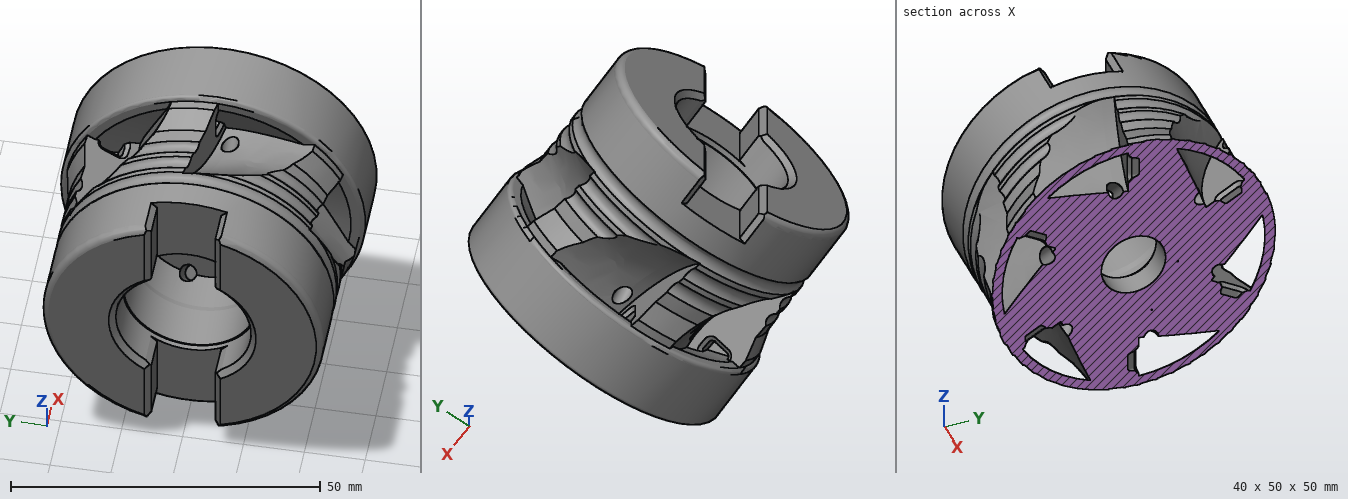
import cadquery as cq
import math

length = 40.0
flange_radius = 25.0
flange_start = 28.0
flange_fillet = 0.75
hub_radius = 23.0
nose_fillet_length = 1.5
nose_fillet_depth = 1.0
collar_radius = flange_radius - flange_fillet
cone_start = 22.7
cone_end = 26.45

groove_count = 3
groove_first = 10.7
groove_pitch = 3.5
groove_width = 2.5
groove_depth = 0.65

bore_radius = 11.1
seat_radius = 10.9
seat_start = 7.3
relief_start = 15.0
bore_depth = 22.75
through_radius = 5.5
edge_chamfer = 1.0
relief_length = 1.0
relief_depth = 0.2

slot_half_width = 5.25
slot_depth = 6.3

flute_count = 6
floor_radius = 18.25
floor_height = 15.45
flute_start = 11.5
flute_end = 33.0
flute_top = 30.0
ridge_start = 13.35
ridge_offset = 0.1
ridge_slope = 0.21
floor_tilt = 0.15
floor_reach = 20.0
strip_tilt = 0.2
strip_width = 2.25
undercut_radius = 22.75
undercut_slope = 0.45

pocket_start = 27.0
pocket_width = 4.0
pocket_bottom = 16.7
pocket_top = 22.25
pocket_corner = 1.35
pocket_chamfer = 0.65
pocket_depth = 3.0

coolant_radius = 1.35
coolant_angle = 45.0
coolant_x = 27.5
coolant_side = 3.0
coolant_reach = 12.0


def revolve_about_x(profile):
    return profile.close().revolve(360, (0, 0, 0), (1, 0, 0))


def tangent_arc_middle(start, corner, end):
    """Middle point of the rounding that replaces a right-angled corner."""
    cos45 = math.sqrt(0.5)
    centre = (start[0] + end[0] - corner[0], start[1] + end[1] - corner[1])
    return (
        centre[0] + cos45 * (corner[0] - centre[0]),
        centre[1] + cos45 * (corner[1] - centre[1]),
    )


def make_body():
    nose_edge = (0, hub_radius - nose_fillet_depth)
    nose_tangent = (nose_fillet_length, hub_radius)
    nose_middle = tangent_arc_middle(nose_edge, (0, hub_radius), nose_tangent)
    profile = (
        cq.Workplane("XY")
        .moveTo(0, 0)
        .lineTo(*nose_edge)
        .threePointArc(nose_middle, nose_tangent)
    )
    for i in range(groove_count):
        start = groove_first + i * groove_pitch
        profile = profile.lineTo(start, hub_radius).threePointArc(
            (start + groove_width / 2, hub_radius - groove_depth),
            (start + groove_width, hub_radius),
        )
    front_edge = (flange_start, collar_radius)
    front_tangent = (flange_start + flange_fillet, flange_radius)
    rear_tangent = (length - flange_fillet, flange_radius)
    rear_edge = (length, collar_radius)
    profile = (
        profile.lineTo(cone_start, hub_radius)
        .lineTo(cone_end, collar_radius)
        .lineTo(*front_edge)
        .threePointArc(
            tangent_arc_middle(front_edge, (flange_start, flange_radius), front_tangent),
            front_tangent,
        )
        .lineTo(*rear_tangent)
        .threePointArc(
            tangent_arc_middle(rear_tangent, (length, flange_radius), rear_edge),
            rear_edge,
        )
        .lineTo(length, 0)
    )
    return revolve_about_x(profile)


def make_bore():
    relief_radius = seat_radius + relief_depth
    profile = cq.Workplane("XY").polyline(
        [
            (0, 0),
            (0, bore_radius + edge_chamfer),
            (edge_chamfer, bore_radius),
            (seat_start, bore_radius),
            (seat_start, seat_radius),
            (relief_start, seat_radius),
            (relief_start + relief_length, relief_radius),
            (bore_depth, relief_radius),
            (bore_depth, through_radius + edge_chamfer),
            (bore_depth + edge_chamfer, through_radius),
            (length, through_radius),
            (length, 0),
        ]
    )
    return revolve_about_x(profile)


def make_slot():
    """Slot whose walls are chamfered at the nose face, the bore and the outside."""
    flare = 2 * edge_chamfer
    wide = slot_half_width + edge_chamfer
    inner = math.sqrt(bore_radius**2 - wide**2) + edge_chamfer
    outer = math.sqrt(hub_radius**2 - wide**2) - edge_chamfer
    half = [
        (slot_half_width + flare, inner - flare),
        (slot_half_width, inner),
        (slot_half_width, outer),
        (slot_half_width + flare, outer + flare),
    ]
    outline = half + [(-y, z) for y, z in reversed(half)]
    upper = cq.Workplane("YZ").polyline(outline).close().extrude(slot_depth)
    lower = upper.mirror("XY")
    mouth = (
        cq.Workplane("XY")
        .polyline(
            [
                (0, wide),
                (edge_chamfer, slot_half_width),
                (edge_chamfer, -slot_half_width),
                (0, -wide),
            ]
        )
        .close()
        .extrude(hub_radius, both=True)
    )
    return upper.union(lower).union(mouth)


def ridge_point(x, height):
    """Point of the upright plane through the ridge between flute floor and strip."""
    side = ridge_offset + ridge_slope * (x - ridge_start)
    return cq.Vector(x, -side, height)


def floor_point(x):
    rise = floor_radius - math.sqrt(floor_radius**2 - (flange_start - x) ** 2)
    return ridge_point(x, floor_height + rise)


def make_flute():
    start = floor_point(flute_start)
    middle = floor_point((flute_start + flute_end) / 2)
    end = floor_point(flute_end)
    corners = [
        end,
        ridge_point(flute_end, flute_top),
        ridge_point(flute_start, flute_top),
        start,
    ]
    edges = [cq.Edge.makeThreePointArc(start, middle, end)]
    for first, second in zip(corners, corners[1:]):
        edges.append(cq.Edge.makeLine(first, second))
    outline = cq.Wire.assembleEdges(edges)
    floor_side = cq.Vector(0, -floor_reach, floor_reach * floor_tilt)
    strip_side = cq.Vector(0, strip_width, -strip_width * strip_tilt)
    floor_part = cq.Solid.extrudeLinear(outline, [], floor_side)
    strip_part = cq.Solid.extrudeLinear(outline, [], strip_side)
    return cq.Workplane(floor_part).union(cq.Workplane(strip_part))


def make_pocket():
    """Rounded pocket sunk into the flute wall, with a 45 degree chamfer around its mouth."""
    height = pocket_top - pocket_bottom
    middle_x = pocket_start + pocket_width / 2
    middle = ridge_point(middle_x, pocket_bottom + height / 2)
    origin = middle + cq.Vector(0, strip_width, 0)
    wall = cq.Plane(origin, xDir=(-1, ridge_slope, 0), normal=(ridge_slope, 1, 0))
    rim = cq.Sketch().rect(pocket_width, height).vertices().fillet(pocket_corner)
    recess = (
        cq.Sketch()
        .rect(pocket_width - 2 * pocket_chamfer, height - 2 * pocket_chamfer)
        .vertices()
        .fillet(pocket_corner - pocket_chamfer)
    )
    mouth = cq.Workplane(wall).placeSketch(rim).extrude(pocket_chamfer, taper=45)
    return mouth.union(cq.Workplane(wall).placeSketch(recess).extrude(pocket_depth))


def make_flute_limit():
    """Turned space open to the flutes: all before the flange and a cone beneath its rim."""
    cone_tip = flange_start + undercut_slope * undercut_radius
    profile = cq.Workplane("XY").polyline(
        [
            (flute_start, 0),
            (flute_start, 2 * flute_top),
            (flange_start, 2 * flute_top),
            (flange_start, undercut_radius),
            (cone_tip, 0),
        ]
    )
    return revolve_about_x(profile)


def make_coolant_hole():
    angle = math.radians(coolant_angle)
    direction = cq.Vector(-math.cos(angle), 0, -math.sin(angle))
    mouth = cq.Vector(coolant_x, -coolant_side, floor_height)
    start = mouth - direction * coolant_radius
    return cq.Workplane(cq.Solid.makeCylinder(coolant_radius, coolant_reach, start, direction))


result = make_body().cut(make_bore()).cut(make_slot())

flute = make_flute().union(make_pocket()).intersect(make_flute_limit())
flute_cut = flute.union(make_coolant_hole())
for i in range(flute_count):
    result = result.cut(flute_cut.rotate((0, 0, 0), (1, 0, 0), i * 360 / flute_count))